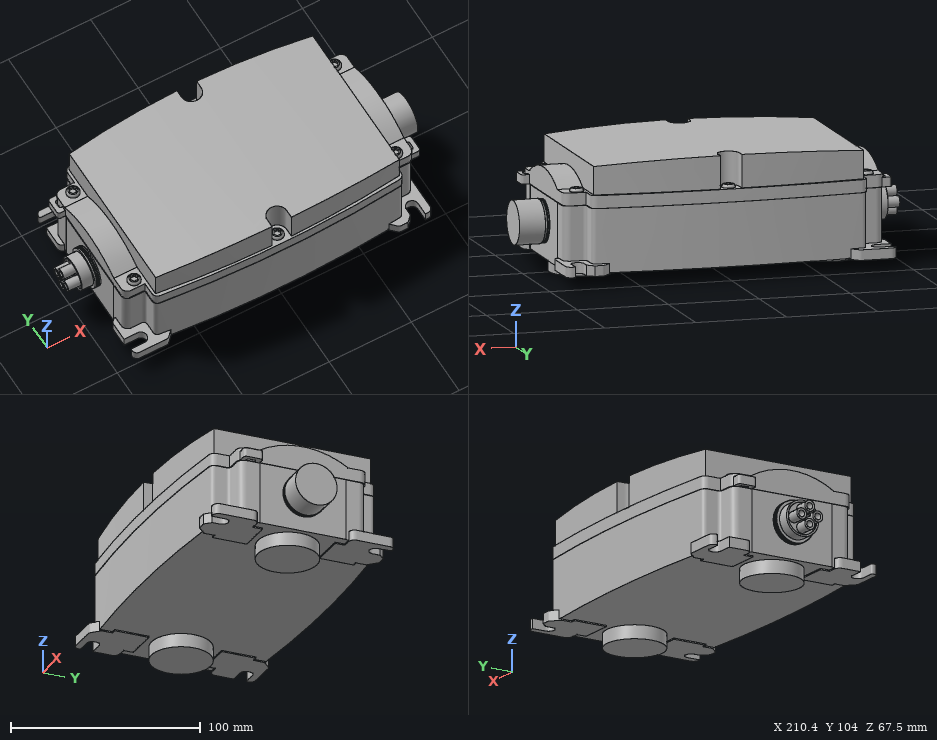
import cadquery as cq
import math

BODY_BOTTOM_Z = 0.7
FOOT_TOP_Z = 5.8
SPLIT_Z = 35.5
FLANGE_TOP_Z = 42.5
COVER_END_Z = 57.8
COVER_TOP_Z = 60.5
BOSS_LENGTH = 7.0

FLANGE_HALF_LENGTH = 75.9
FLANGE_END_HALF_WIDTH = 47.2
FLANGE_MID_HALF_WIDTH = 51.2
FLANGE_CORNER_RADIUS = 3.5
WING_HALF_LENGTH = 88.3
WING_HALF_WIDTH = 37.0
WING_CORNER_RADIUS = 4.0
BODY_INSET = 0.5
BODY_SIDE_INSET = 0.15
BODY_CORNER_RADIUS = 2.4
BODY_INNER_RADIUS = 2.0
END_PANEL_HALF_WIDTH = 24.8
END_PANEL_RAISE = 0.2
COVER_HALF_LENGTH = 74.2
COVER_END_HALF_WIDTH = 45.3
COVER_MID_HALF_WIDTH = 49.8

DOME_RADIUS = 50.0
DOME_RISE = 7.2

CORNER_SCREW_X = 79.6
CORNER_SCREW_Y = 32.0
MID_SCREW_Y = 45.0
NOTCH_RADIUS = 5.9
SCREW_RADIUS = 3.8
SCREW_TOP_RADIUS = 2.6
SCREW_HEIGHT = 1.7
SCREW_SHOULDER = (3.4, 1.1)
SOCKET_ACROSS_CORNERS = 4.0
SOCKET_DEPTH = 1.4

FOOT_OUTER_X = 90.8
FOOT_INNER_X = 65.4
FOOT_INNER_Y = 26.5
FOOT_OUTER_Y = 52.0
FOOT_CHAMFER = 5.0
FOOT_OUTER_ROUND = 3.1
FOOT_INNER_ROUND = 3.5
FOOT_CHAMFER_ROUND = 2.2
PRONG_TIP_ROUND = 1.0
SLOT_X = 82.6
SLOT_Y = 44.3
SLOT_RADIUS = 3.5
PRONG_CHAMFER = 3.5
PAD_INNER_X = 62.5
PAD_INNER_Y = 21.0

TAB_TOP_Z = 40.6
TAB_OUTER_X = 92.7
TAB_Y = 30.5
TAB_WIDTH = 10.8
TAB_ROUND = 1.6
TAB_SLOT_OUTER_X = 90.0
TAB_SLOT_WIDTH = 5.2
TAB_SLOT_ROUND = 1.2

BOSS_X = 68.0
BOSS_RADIUS = 17.0

CONNECTOR_Z = 20.7
COLLAR_RADIUS = 11.75
COLLAR_OUTER_LEFT_X = 91.5
COLLAR_OUTER_RIGHT_X = 90.6
GROOVE_WIDTH = 0.4
GROOVE_DEPTH = 0.5
GROOVE_INSETS = (1.2, 2.4)
PLUG_RADIUS = 10.0
PLUG_RECESS_RADIUS = 8.9
PLUG_RECESS_DEPTH = 1.0
PLUG_OUTER_X = 98.4
PIN_OUTER_X = 105.5
PIN_RADIUS = 3.05
PIN_OFFSET = 5.0
PIN_HOLE_RADIUS = 1.8
PIN_HOLE_DEPTH = 5.0
CENTER_POST_RADIUS = 0.6
CAP_RADIUS = 12.0
CAP_OUTER_X = 104.9


def slab(x_min, x_max, y_min, y_max, z_min, z_max):
    """Box given by its limits."""
    size = (x_max - x_min, y_max - y_min, z_max - z_min)
    return cq.Workplane("XY").box(*size, centered=False).translate((x_min, y_min, z_min))


def bowed_block(half_length, end_half_width, mid_half_width, z_min, z_max):
    """Block with straight ends and outward bowed long sides."""
    return (
        cq.Workplane("XY", origin=(0, 0, z_min))
        .moveTo(-half_length, -end_half_width)
        .threePointArc((0, -mid_half_width), (half_length, -end_half_width))
        .lineTo(half_length, end_half_width)
        .threePointArc((0, mid_half_width), (-half_length, end_half_width))
        .close()
        .extrude(z_max - z_min)
    )


def housing_layer(inset, side_inset, corner_radius, z_min, z_max):
    """Bowed block with an end wing at each end, set in from the lid outline."""
    core = bowed_block(
        FLANGE_HALF_LENGTH - inset,
        FLANGE_END_HALF_WIDTH - side_inset,
        FLANGE_MID_HALF_WIDTH - side_inset,
        z_min,
        z_max,
    )
    core = core.edges("|Z").fillet(corner_radius)
    wing_x = WING_HALF_LENGTH - inset
    wing_y = WING_HALF_WIDTH - inset
    wings = slab(-wing_x, wing_x, -wing_y, wing_y, z_min, z_max)
    return core.union(wings.edges("|Z").fillet(WING_CORNER_RADIUS))


def is_inner_corner(edge):
    """True for the upright edges where a wing meets the bowed body."""
    center = edge.Center()
    at_end = math.isclose(abs(center.x), FLANGE_HALF_LENGTH - BODY_INSET, abs_tol=0.01)
    at_wing = math.isclose(abs(center.y), WING_HALF_WIDTH - BODY_INSET, abs_tol=0.01)
    return at_end and at_wing


def make_body():
    """Lower housing with filleted inner corners and a slightly raised panel on each end."""
    body = housing_layer(
        BODY_INSET, BODY_SIDE_INSET, BODY_CORNER_RADIUS, BODY_BOTTOM_Z, SPLIT_Z
    )
    body = body.edges("|Z").filter(is_inner_corner).fillet(BODY_INNER_RADIUS)
    panel_x = WING_HALF_LENGTH - BODY_INSET + END_PANEL_RAISE
    panel_y = END_PANEL_HALF_WIDTH
    return body.union(slab(-panel_x, panel_x, -panel_y, panel_y, BODY_BOTTOM_Z, SPLIT_Z))


def make_end_domes():
    """Cylinder segment lying along X; the cover hides all but its ends."""
    dome_half_width = math.sqrt(DOME_RADIUS**2 - (DOME_RADIUS - DOME_RISE) ** 2)
    return (
        cq.Workplane("YZ", origin=(-WING_HALF_LENGTH, 0, 0))
        .moveTo(-dome_half_width, SPLIT_Z)
        .lineTo(-dome_half_width, FLANGE_TOP_Z)
        .threePointArc((0, FLANGE_TOP_Z + DOME_RISE), (dome_half_width, FLANGE_TOP_Z))
        .lineTo(dome_half_width, SPLIT_Z)
        .close()
        .extrude(2 * WING_HALF_LENGTH)
    )


def make_cover():
    """Raised cover with bowed sides, arched top and a screw notch in each long side."""
    cover = bowed_block(
        COVER_HALF_LENGTH, COVER_END_HALF_WIDTH, COVER_MID_HALF_WIDTH, FLANGE_TOP_Z, COVER_TOP_Z
    )
    arch = (
        cq.Workplane("XZ", origin=(0, COVER_MID_HALF_WIDTH, 0))
        .moveTo(-COVER_HALF_LENGTH, FLANGE_TOP_Z)
        .lineTo(-COVER_HALF_LENGTH, COVER_END_Z)
        .threePointArc((0, COVER_TOP_Z), (COVER_HALF_LENGTH, COVER_END_Z))
        .lineTo(COVER_HALF_LENGTH, FLANGE_TOP_Z)
        .close()
        .extrude(2 * COVER_MID_HALF_WIDTH)
    )
    cover = cover.intersect(arch)
    notch_height = COVER_TOP_Z - FLANGE_TOP_Z
    for side in (-1, 1):
        base = cq.Workplane("XY", origin=(0, side * MID_SCREW_Y, FLANGE_TOP_Z))
        round_end = base.circle(NOTCH_RADIUS).extrude(notch_height)
        mouth = (
            base.center(0, side * NOTCH_RADIUS)
            .rect(2 * NOTCH_RADIUS, 2 * NOTCH_RADIUS)
            .extrude(notch_height)
        )
        cover = cover.cut(round_end).cut(mouth)
    return cover


def make_screw(x, y):
    """Rounded screw head with a hexagon socket."""
    head = (
        cq.Workplane("XZ")
        .lineTo(SCREW_RADIUS, 0)
        .threePointArc(SCREW_SHOULDER, (SCREW_TOP_RADIUS, SCREW_HEIGHT))
        .lineTo(0, SCREW_HEIGHT)
        .close()
        .revolve(360, (0, 0, 0), (0, 1, 0))
    )
    socket = (
        cq.Workplane("XY", origin=(0, 0, SCREW_HEIGHT - SOCKET_DEPTH))
        .polygon(6, SOCKET_ACROSS_CORNERS)
        .extrude(SOCKET_DEPTH)
    )
    return head.cut(socket).translate((x, y, FLANGE_TOP_Z))


def foot_blank():
    """Foot in the +X +Y quadrant, before its slot, with the pad that ties it to the body."""
    foot = (
        cq.Workplane("XY")
        .moveTo(FOOT_OUTER_X, FOOT_INNER_Y)
        .lineTo(FOOT_OUTER_X, FOOT_OUTER_Y)
        .lineTo(FOOT_INNER_X + FOOT_CHAMFER, FOOT_OUTER_Y)
        .lineTo(FOOT_INNER_X, FOOT_OUTER_Y - FOOT_CHAMFER)
        .lineTo(FOOT_INNER_X, FOOT_INNER_Y)
        .close()
        .extrude(FOOT_TOP_Z)
    )
    foot = foot.edges("|Z and >X and >Y").fillet(FOOT_OUTER_ROUND)
    foot = foot.edges("|Z and >X and <Y").fillet(FOOT_INNER_ROUND)
    foot = foot.edges("|Z and >Y").edges("<X").fillet(FOOT_CHAMFER_ROUND)
    pad = slab(PAD_INNER_X, SLOT_X, PAD_INNER_Y, SLOT_Y - SLOT_RADIUS, 0, BODY_BOTTOM_Z)
    return foot.union(pad)


def slot_round():
    """Round inner end of a foot slot."""
    return cq.Workplane("XY").center(SLOT_X, SLOT_Y).circle(SLOT_RADIUS).extrude(FOOT_TOP_Z)


def foot_with_end_slot():
    """Foot whose slot opens toward the end of the housing."""
    opening = slab(
        SLOT_X, FOOT_OUTER_X, SLOT_Y - SLOT_RADIUS, SLOT_Y + SLOT_RADIUS, 0, FOOT_TOP_Z
    )
    foot = foot_blank().cut(slot_round()).cut(opening)
    tip_corner = (FOOT_OUTER_X, SLOT_Y + SLOT_RADIUS, FOOT_TOP_Z / 2)
    return foot.edges("|Z").edges(cq.NearestToPointSelector(tip_corner)).fillet(PRONG_TIP_ROUND)


def foot_with_side_slot():
    """Foot whose slot opens toward the long side, with a chamfered inner prong."""
    opening = slab(
        SLOT_X - SLOT_RADIUS, SLOT_X + SLOT_RADIUS, SLOT_Y, FOOT_OUTER_Y, 0, FOOT_TOP_Z
    )
    prong_x = SLOT_X - SLOT_RADIUS
    prong_corner = (
        cq.Workplane("XY")
        .moveTo(prong_x - PRONG_CHAMFER, FOOT_OUTER_Y)
        .lineTo(prong_x, FOOT_OUTER_Y)
        .lineTo(prong_x, FOOT_OUTER_Y - PRONG_CHAMFER)
        .close()
        .extrude(FOOT_TOP_Z)
    )
    return foot_blank().cut(slot_round()).cut(opening).cut(prong_corner)


def make_tab():
    """Eyelet tab on the +X end, at the -Y corner."""
    root_x = WING_HALF_LENGTH - WING_CORNER_RADIUS
    tab = slab(
        root_x, TAB_OUTER_X, -TAB_Y - TAB_WIDTH / 2, -TAB_Y + TAB_WIDTH / 2, SPLIT_Z, TAB_TOP_Z
    )
    slot = slab(
        WING_HALF_LENGTH,
        TAB_SLOT_OUTER_X,
        -TAB_Y - TAB_SLOT_WIDTH / 2,
        -TAB_Y + TAB_SLOT_WIDTH / 2,
        SPLIT_Z,
        TAB_TOP_Z,
    )
    slot = slot.edges("|Z and >X").fillet(TAB_SLOT_ROUND)
    return tab.edges("|Z and >X").fillet(TAB_ROUND).cut(slot)


def end_cylinder(radius, x_start, x_end, y=0.0, z=CONNECTOR_Z):
    """Cylinder along X between two X positions."""
    return cq.Workplane("YZ", origin=(x_start, y, z)).circle(radius).extrude(x_end - x_start)


def make_collar(outer_x):
    """Grooved connector collar on the +X end."""
    root_x = WING_HALF_LENGTH - BODY_INSET
    collar = end_cylinder(COLLAR_RADIUS, root_x, outer_x)
    for inset in GROOVE_INSETS:
        groove_x = outer_x - inset
        groove = end_cylinder(COLLAR_RADIUS, groove_x - GROOVE_WIDTH, groove_x).cut(
            end_cylinder(COLLAR_RADIUS - GROOVE_DEPTH, groove_x - GROOVE_WIDTH, groove_x)
        )
        collar = collar.cut(groove)
    return collar


def make_cap_connector():
    """Plain capped connector on the +X end."""
    cap = end_cylinder(CAP_RADIUS, COLLAR_OUTER_RIGHT_X, CAP_OUTER_X)
    return make_collar(COLLAR_OUTER_RIGHT_X).union(cap)


def make_pin_connector():
    """Four-socket plug, modelled on the +X side and mirrored to the -X end."""
    plug = make_collar(COLLAR_OUTER_LEFT_X)
    plug = plug.union(end_cylinder(PLUG_RADIUS, COLLAR_OUTER_LEFT_X, PLUG_OUTER_X))
    floor_x = PLUG_OUTER_X - PLUG_RECESS_DEPTH
    plug = plug.cut(end_cylinder(PLUG_RECESS_RADIUS, floor_x, PLUG_OUTER_X))
    plug = plug.union(end_cylinder(CENTER_POST_RADIUS, floor_x, PIN_OUTER_X))
    for dy, dz in ((1, 0), (0, 1), (-1, 0), (0, -1)):
        y = dy * PIN_OFFSET
        z = CONNECTOR_Z + dz * PIN_OFFSET
        pin = end_cylinder(PIN_RADIUS, floor_x, PIN_OUTER_X, y, z)
        hole = end_cylinder(PIN_HOLE_RADIUS, PIN_OUTER_X - PIN_HOLE_DEPTH, PIN_OUTER_X, y, z)
        plug = plug.union(pin.cut(hole))
    return plug.mirror("YZ")


def make_boss(x):
    """Round boss under the body."""
    boss = cq.Workplane("XY", origin=(x, 0, -BOSS_LENGTH)).circle(BOSS_RADIUS)
    return boss.extrude(BOSS_LENGTH + BODY_BOTTOM_Z)


result = make_body()
result = result.union(housing_layer(0, 0, FLANGE_CORNER_RADIUS, SPLIT_Z, FLANGE_TOP_Z))
result = result.union(make_end_domes())
result = result.union(make_cover())

side_slot_foot = foot_with_side_slot()
end_slot_foot = foot_with_end_slot().mirror("YZ")
for foot in (side_slot_foot, end_slot_foot):
    result = result.union(foot).union(foot.mirror("XZ"))

tab = make_tab()
result = result.union(tab).union(tab.rotate((0, 0, 0), (0, 0, 1), 180))

for boss_x in (-BOSS_X, BOSS_X):
    result = result.union(make_boss(boss_x))

result = result.union(make_cap_connector())
result = result.union(make_pin_connector())

for screw_y in (-1, 1):
    result = result.union(make_screw(0, screw_y * MID_SCREW_Y))
    for screw_x in (-1, 1):
        result = result.union(make_screw(screw_x * CORNER_SCREW_X, screw_y * CORNER_SCREW_Y))